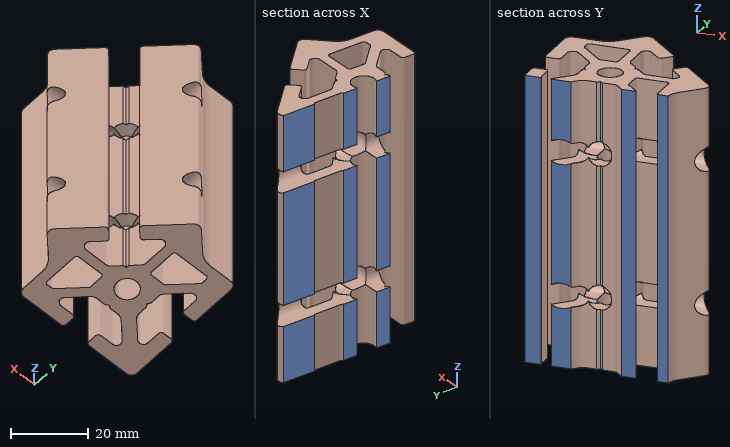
import cadquery as cq
import math

length = 80.0
face_distance = 20.0
core_distance = 7.5
lip_thickness = 4.5
mouth_half_width = 4.0
web_half_thickness = 2.0
web_inner_thickness = 1.0
groove_half_width = 0.8
groove_depth = 0.6
pocket_end = 13.0
outer_wall = 3.0
hole_diameter = 6.8
hole_heights = (length / 4, length * 3 / 4)

corner_radius = 2.0
valley_radius = 6.0
lip_radius = 1.0
slot_end_radius = 1.5
slot_floor_radius = 2.0
solid_web_radius = 3.0
pocket_radius = 0.8

diagonal_slot = 45
slot_angles = (180, 270, diagonal_slot)

diagonal = math.sqrt(2)
tip = face_distance * diagonal
lip_back = face_distance - lip_thickness
web_shift = web_half_thickness * diagonal
floor_half_width = core_distance - web_shift
back_half_width = lip_back - web_shift


def rotated(points, angle):
    """Turn (outward, sideways) points so that outward faces the given direction."""
    c = math.cos(math.radians(angle))
    s = math.sin(math.radians(angle))
    return [(u * c - v * s, u * s + v * c) for u, v in points]


def swapped(points):
    """Mirror points across the plane Y = X."""
    return [(y, x) for x, y in points]


def both_sides(outward, sideways):
    return [(outward, sideways), (outward, -sideways)]


def prism(points):
    return cq.Workplane("XY").polyline(points).close().extrude(length)


def round_edges(body, points, radius):
    """Fillet the full-length vertical edges that stand at the given XY points."""
    upright = body.edges("|Z")
    edges = [
        upright.edges(cq.NearestToPointSelector((x, y, length / 2))).val()
        for x, y in points
    ]
    return body.newObject(edges).fillet(radius)


def make_blank():
    """A square with its (+X, +Y) corner replaced by a square-cornered diagonal face."""
    valley = tip - face_distance
    upper_half = [(-face_distance, face_distance), (-valley, face_distance), (0, tip)]
    lower_half = swapped(upper_half)
    blank = prism([(-face_distance, -face_distance)] + upper_half + lower_half[::-1])
    corners = [upper_half[0], upper_half[2], lower_half[0], lower_half[2]]
    blank = round_edges(blank, corners + [(-face_distance, -face_distance)], corner_radius)
    return round_edges(blank, [upper_half[1], lower_half[1]], valley_radius)


def cut_slot(body, angle):
    """Cut a T-slot with slanted sides and a V groove along its floor."""
    half = [
        (face_distance, mouth_half_width),
        (lip_back, mouth_half_width),
        (lip_back, back_half_width),
        (core_distance, floor_half_width),
        (core_distance, groove_half_width),
    ]
    groove_bottom = (core_distance - groove_depth, 0)
    other_half = [(u, -v) for u, v in reversed(half)]
    body = body.cut(prism(rotated(half + [groove_bottom] + other_half, angle)))
    lips = both_sides(face_distance, mouth_half_width) + both_sides(lip_back, mouth_half_width)
    body = round_edges(body, rotated(lips, angle), lip_radius)
    ends = both_sides(lip_back, back_half_width)
    return round_edges(body, rotated(ends, angle), slot_end_radius)


def round_slot_floors(body):
    """Round the floor corners, more generously on the web between the square slots."""
    solid_web = [(-core_distance, -floor_half_width), (-floor_half_width, -core_distance)]
    other_webs = [(-core_distance, floor_half_width), (floor_half_width, -core_distance)]
    other_webs += rotated(both_sides(core_distance, floor_half_width), diagonal_slot)
    body = round_edges(body, solid_web, solid_web_radius)
    return round_edges(body, other_webs, slot_floor_radius)


def cut_pockets(body):
    """Cut the two hollow chambers beside the diagonal slot."""
    outer = face_distance - outer_wall
    slant = web_inner_thickness * diagonal
    corners = [
        (-web_inner_thickness, core_distance),
        (-web_inner_thickness, outer),
        (-pocket_end, outer),
        (-pocket_end, pocket_end + slant),
        (slant - core_distance, core_distance),
    ]
    for points in (corners, swapped(corners)):
        body = body.cut(prism(points).edges("|Z").fillet(pocket_radius))
    return body


def cut_holes(body):
    """Drill the centre bore and, at each height, a cross hole along every slot direction."""
    radius = hole_diameter / 2
    body = body.cut(cq.Workplane("XY").circle(radius).extrude(length))
    for height in hole_heights:
        for angle in slot_angles:
            drill = cq.Workplane("YZ").circle(radius).extrude(tip, both=True)
            body = body.cut(drill.rotate((0, 0, 0), (0, 0, 1), angle).translate((0, 0, height)))
    return body


profile = make_blank()
for slot_angle in slot_angles:
    profile = cut_slot(profile, slot_angle)
profile = cut_pockets(round_slot_floors(profile))
result = cut_holes(profile)